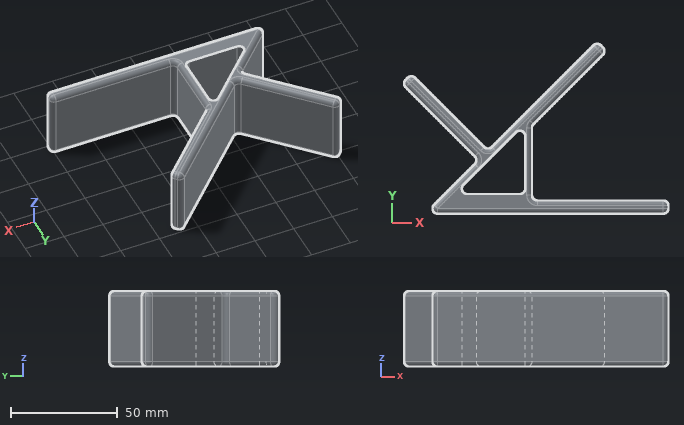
import cadquery as cq
import math

height = 35.6
arm_length = 114.2
arm_thickness = 6.3
incline = 45.0
edge_radius = 2.5

branch_length = 50.8
branch_center = 38.7

web_face = 50.2
thin_wall = 3.2
pocket_floor = 9.3
pocket_radius = 2.5

slope = math.tan(math.radians(incline))


def bar(length, thickness):
    """Rectangular bar along +X whose lower left corner is at the origin."""
    return cq.Workplane("XY").box(length, thickness, height, centered=False)


def incline_part(body):
    """Swing a body from the X axis up to the inclined arm."""
    return body.rotate((0, 0, 0), (0, 0, 1), incline)


def right_triangle(left, bottom, right):
    """Prism with a horizontal side, an upright side and a side parallel to the inclined arm."""
    top = bottom + (right - left) * slope
    corners = [(left, bottom), (right, bottom), (right, top)]
    return cq.Workplane("XY").polyline(corners).close().extrude(height)


core = right_triangle(0, 0, web_face)

base = bar(arm_length, arm_thickness).cut(
    incline_part(bar(2 * arm_length, arm_length))
)
inclined_arm = incline_part(
    bar(arm_length, arm_thickness).translate((0, -arm_thickness, 0))
).intersect(bar(arm_length, arm_length))

branch = incline_part(
    cq.Workplane("XY")
    .box(arm_thickness, branch_length, height, centered=(True, False, False))
    .translate((branch_center, 0, 0))
)

body = core.union(base).union(inclined_arm).union(branch).clean()
body = body.edges().fillet(edge_radius)

pocket_left = pocket_floor / slope + thin_wall / math.sin(math.radians(incline))
pocket = right_triangle(pocket_left, pocket_floor, web_face - thin_wall)
pocket = pocket.edges("|Z").fillet(pocket_radius)

result = body.cut(pocket)